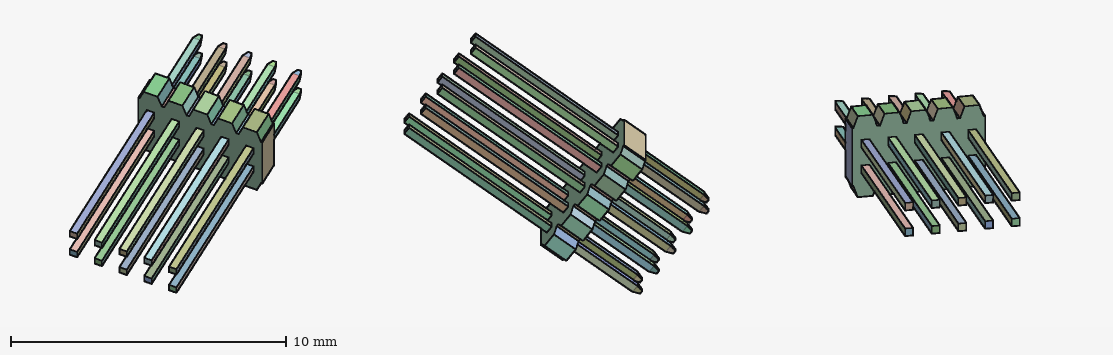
import cadquery as cq

columns = 5
rows = 2

body_width = 5.0
body_height = 3.17
body_depth = 1.0
pitch = body_width / columns
tooth_height = 0.45
tooth_tip_width = 0.57
tooth_root_width = 0.9

pin_length = 10.7
pin_size = 0.3
pin_rear_reach = 3.2
taper_length = pin_size
taper_end_size = 0.14

body_rear = body_depth / 2
pin_rear = body_rear + pin_rear_reach
pin_front = pin_rear - pin_length
shaft_rear = pin_rear - taper_length
core_height = body_height - 2 * tooth_height


def centred_positions(count):
    """Pitch-spaced positions placed symmetrically about zero."""
    return [(i - (count - 1) / 2) * pitch for i in range(count)]


def make_column_slice():
    """Full-height slab with a tapered tooth above and below, one pin column wide."""
    root = tooth_root_width / 2
    tip = tooth_tip_width / 2
    top = body_height / 2
    shoulder = core_height / 2
    return (
        cq.Workplane("XZ", origin=(0, body_rear, 0))
        .polyline([
            (-root, -shoulder), (-tip, -top), (tip, -top), (root, -shoulder),
            (root, shoulder), (tip, top), (-tip, top), (-root, shoulder),
        ])
        .close()
        .extrude(body_depth)
    )


def make_body():
    """Rectangular core joined with the toothed slice of every column."""
    body = cq.Workplane("XY").box(body_width, body_depth, core_height)
    for x in centred_positions(columns):
        body = body.union(make_column_slice().translate((x, 0, 0)))
    return body


def make_pin():
    """Square pin on the Y axis with a tapered tip at its +Y end."""
    shaft = (
        cq.Workplane("XZ", origin=(0, shaft_rear, 0))
        .rect(pin_size, pin_size)
        .extrude(shaft_rear - pin_front)
    )
    tip = (
        cq.Workplane("XZ", origin=(0, pin_rear, 0))
        .rect(taper_end_size, taper_end_size)
        .workplane(offset=taper_length)
        .rect(pin_size, pin_size)
        .loft()
    )
    return shaft.union(tip)


result = make_body()
for pin_x in centred_positions(columns):
    for pin_z in centred_positions(rows):
        result = result.union(make_pin().translate((pin_x, 0, pin_z)))